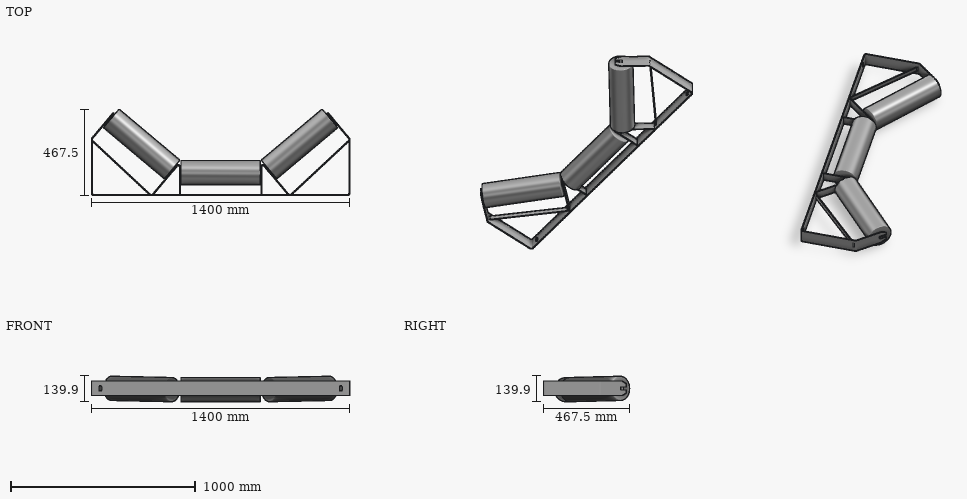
import cadquery as cq
import math

frame_width = 1400.0
bar_thickness = 6.0
bar_height = 80.0
bracket_height = 50.0
brace_height = 30.0
base_bend_radius = 7.0
bracket_bend_radius = 5.0

roller_diameter = 133.0
roller_length = 430.0
roller_edge_radius = 4.0
shaft_diameter = 21.0
shaft_flats = 17.0

trough_angle = 40.0
middle_y = 125.0
wing_x = 427.0
wing_y = 280.0
wing_drop = 7.0
middle_z = -wing_drop
wing_z = -wing_drop / 2

middle_gap = 3.0
wing_inner_gap = 4.0
wing_outer_gap = 7.0

tip_rise = 31.0
tip_chamfer_length = 31.0
tip_chamfer_depth = 14.0

brace_top_y = 300.0
brace_foot_x = -380.0

mount_hole_inset = 49.0
mount_hole_width = 17.0
mount_hole_height = 27.0

slot_rise = 70.0
slot_overrun = 2 * bar_thickness

half_width = frame_width / 2
half_length = roller_length / 2
slope = math.radians(trough_angle)
wing_tilt = math.degrees(math.asin(wing_drop / roller_length))


def wing_point(along, across):
    """XY of a point given along the left wing roller (inwards) and across it (upwards)."""
    x = -wing_x + along * math.cos(slope) + across * math.sin(slope)
    y = wing_y - along * math.sin(slope) + across * math.cos(slope)
    return (x, y)


def across_at_x(along, x):
    """Distance across the wing axis at which the line at 'along' reaches x."""
    return (x + wing_x - along * math.cos(slope)) / math.sin(slope)


def across_at_y(along, y):
    """Distance across the wing axis at which the line at 'along' reaches y."""
    return (y - wing_y + along * math.sin(slope)) / math.cos(slope)


def mirror_points(points):
    """Mirror a path about X = 0, reversed so that it carries on from the original."""
    return [(-x, y) for x, y in reversed(points)]


def left_offset(points, distance):
    """Shift an open path to its left by distance, with mitred corners."""
    angles = [math.atan2(b[1] - a[1], b[0] - a[0]) for a, b in zip(points, points[1:])]
    starts = [angles[0]] + angles
    ends = angles + [angles[-1]]
    shifted = []
    for (x, y), before, after in zip(points, starts, ends):
        middle = (before + after) / 2
        reach = distance / math.cos((after - before) / 2)
        shifted.append((x - reach * math.sin(middle), y + reach * math.cos(middle)))
    return shifted


def bent_bar(outer, height, bend_radius=0):
    """Flat bar on the left of its outer face path, bent to the left at each inner point."""
    inner = left_offset(outer, bar_thickness)
    bar = cq.Workplane("XY").polyline(outer + inner[::-1]).close().extrude(height / 2, both=True)
    for path, radius in ((outer, bend_radius + bar_thickness), (inner, bend_radius)):
        for x, y in path[1:-1]:
            bar = bar.edges(cq.selectors.NearestToPointSelector((x, y, 0))).fillet(radius)
    return bar


def mirrored_pair(left):
    """A left-hand shape and its right-hand mirror image."""
    return [left, left.mirror("YZ")]


def place_level_wing(shape):
    """Move a shape from the X axis onto the left wing, keeping it level."""
    return shape.rotate((0, 0, 0), (0, 0, 1), -trough_angle).translate((-wing_x, wing_y, 0))


def place_wing(shape):
    """Move a shape from the X axis onto the left wing roller's tilted axis."""
    tilted = shape.rotate((0, 0, 0), (0, 1, 0), wing_tilt)
    return place_level_wing(tilted).translate((0, 0, wing_z))


def place_middle(shape):
    """Move a shape from the X axis onto the middle roller's axis."""
    return shape.translate((0, middle_y, middle_z))


tip_outer = -half_length - wing_outer_gap - bar_thickness
leg_face = half_length + wing_inner_gap
upright_face = half_length + middle_gap


def flatted_shaft(start, end):
    """Shaft along X with two flats facing up and down."""
    shaft = cq.Workplane("YZ").workplane(offset=start).circle(shaft_diameter / 2).extrude(end - start)
    flats = cq.Workplane("XY").box(2 * (end - start), shaft_diameter, shaft_flats)
    return shaft.intersect(flats.translate(((start + end) / 2, 0, 0)))


def make_roller(start, end):
    """Roller centred on the X axis with its shaft reaching from start to end."""
    drum = cq.Workplane("YZ").workplane(offset=-half_length).circle(roller_diameter / 2).extrude(roller_length)
    drum = drum.edges().fillet(roller_edge_radius)
    return drum.union(flatted_shaft(start, end))


def shaft_slot(start, end):
    """Slot for a flatted shaft along X, open towards +Y."""
    opening = cq.Workplane("XY").box(end - start, slot_rise, shaft_flats, centered=(False, False, True))
    return flatted_shaft(start, end).union(opening.translate((start, 0, 0)))


def make_base():
    """Base bar with uprights and inclined tips."""
    shoulder = wing_point(tip_outer, across_at_x(tip_outer, -half_width))
    left = [wing_point(tip_outer, tip_rise), shoulder, (-half_width, 0)]
    return bent_bar(left + mirror_points(left), bar_height, base_bend_radius)


def make_bracket():
    """Left inner bracket: sloping leg, bend and upright leg, standing on the base bar."""
    leg_foot = wing_point(leg_face, across_at_y(leg_face, bar_thickness))
    apex = wing_point(leg_face, across_at_x(leg_face, -upright_face))
    upright_foot = (-upright_face, bar_thickness)
    path = [upright_foot, apex, leg_foot]
    bracket = bent_bar(path, bracket_height, bracket_bend_radius)
    return bracket.translate((0, 0, middle_z))


def make_brace():
    """Left diagonal brace, running into the upright and the base bar."""
    top = (-half_width + bar_thickness / 2, brace_top_y)
    foot = (brace_foot_x, bar_thickness / 2)
    path = left_offset([top, foot], -bar_thickness / 2)
    return bent_bar(path, brace_height)


def tip_corner_cuts():
    """Sloping cuts on the two end corners of the left tip."""
    edge = bar_height / 2
    upper = (
        cq.Workplane("YZ")
        .workplane(offset=tip_outer)
        .moveTo(tip_rise - tip_chamfer_length, edge)
        .lineTo(tip_rise, edge)
        .lineTo(tip_rise, edge - tip_chamfer_depth)
        .close()
        .extrude(bar_thickness)
    )
    return place_level_wing(upper.union(upper.mirror("XY")))


def mount_hole():
    """Upright slotted hole through the left end of the base bar."""
    slot = cq.Workplane("XZ").slot2D(mount_hole_height, mount_hole_width, 90)
    hole = slot.extrude(bar_thickness, both=True)
    return hole.translate((-half_width + mount_hole_inset, 0, 0))


def make_frame():
    """Welded frame: base bar, brackets and braces, with all holes and slots."""
    frame = make_base()
    for member in (make_bracket(), make_brace()):
        for side in mirrored_pair(member):
            frame = frame.union(side)
    cuts = [
        tip_corner_cuts(),
        mount_hole(),
        place_wing(shaft_slot(tip_outer - slot_overrun, -half_length)),
        place_wing(shaft_slot(half_length, leg_face + slot_overrun)),
        place_middle(shaft_slot(-upright_face - slot_overrun, -half_length)),
    ]
    for cut in cuts:
        for side in mirrored_pair(cut):
            frame = frame.cut(side)
    return frame


frame = make_frame()
middle_reach = upright_face + bar_thickness
middle_roller = place_middle(make_roller(-middle_reach, middle_reach))
wing_rollers = mirrored_pair(place_wing(make_roller(tip_outer, leg_face + bar_thickness)))

result = cq.Compound.makeCompound(
    [frame.val(), middle_roller.val()] + [roller.val() for roller in wing_rollers]
)